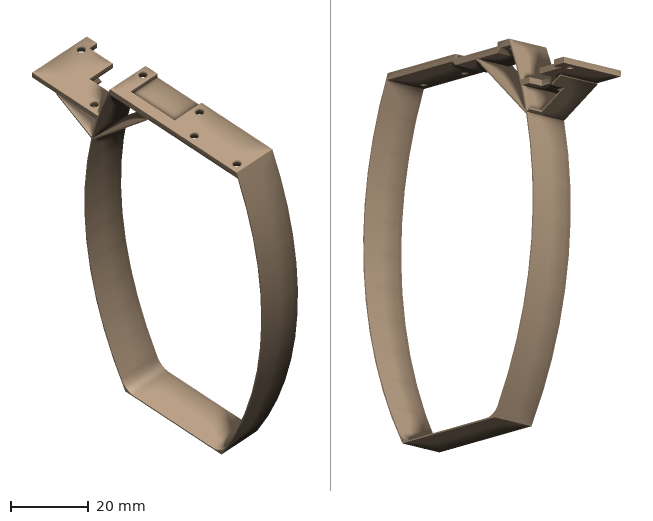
import cadquery as cq
import math


height = 100.0
band_depth = 13.0
wall = 0.4
middle_half_width = 32.4
middle_height = 55.5
bottom_half_width = 17.5
corner_radius = 5.0

top_thickness = 1.8
pocket_left = -18.7
pocket_width = 16.0
pocket_front = 3.2
tray_drop = 1.2

side_left = -51.4
side_top = 88.2
side_thickness = 1.6
side_depth = 20.0
tab_width = 3.7
shoulder_depth = 17.2
notch_start = 12.2
notch_end = 20.6
notch_front = 8.7

brace_thickness = 0.4
brace_foot_z = 79.3
side_brace_start = 9.0
top_brace_x = -9.7

hole_diameter = 2.1
countersink_diameter = 2.6
countersink_angle = 90
front_hole_y = 2.6
back_hole_y = 10.1
tab_hole_y = 15.4
side_holes = [(-48.9, tab_hole_y), (-31.4, front_hole_y)]
top_holes = [(-21.2, back_hole_y), (-0.6, back_hole_y), (5.0, front_hole_y), (20.5, front_hole_y)]

side_sag = middle_half_width - bottom_half_width
arc_radius = (middle_height**2 + side_sag**2) / (2 * side_sag)
arc_centre_x = middle_half_width - arc_radius


def half_width(z, inset=0.0):
    """Distance from the centre plane to the side arc, moved inwards by inset."""
    return arc_centre_x + math.sqrt((arc_radius - inset) ** 2 - (z - middle_height) ** 2)


def extrude_back(profile, y_start, y_end):
    """Extrude an XZ profile from y_start to y_end."""
    return profile.extrude(-(y_end - y_start)).translate((0, y_start, 0))


def barrel(z_low, z_high, inset):
    """Solid barrel between two heights, moved inwards by inset."""
    low = half_width(z_low, inset)
    high = half_width(z_high, inset)
    middle = half_width(middle_height, inset)
    profile = (
        cq.Workplane("XZ")
        .moveTo(-low, z_low)
        .lineTo(low, z_low)
        .threePointArc((middle, middle_height), (high, z_high))
        .lineTo(-high, z_high)
        .threePointArc((-middle, middle_height), (-low, z_low))
        .close()
    )
    return extrude_back(profile, 0, band_depth)


def opening():
    """Space enclosed by the band, below the top plate."""
    space = barrel(wall, height - top_thickness, wall)
    return space.edges("|Y and <Z").fillet(corner_radius)


def frame():
    return barrel(0, height, 0).cut(opening())


def tray():
    plate_bottom = height - top_thickness
    profile = (
        cq.Workplane("XZ")
        .moveTo(pocket_left - tray_drop, plate_bottom)
        .lineTo(pocket_left, plate_bottom - tray_drop)
        .lineTo(pocket_left + pocket_width, plate_bottom - tray_drop)
        .lineTo(pocket_left + pocket_width + tray_drop, plate_bottom)
        .close()
    )
    return extrude_back(profile, pocket_front - tray_drop, band_depth)


def pocket():
    return cq.Workplane("XY").box(
        pocket_width, band_depth - pocket_front, tray_drop, centered=False
    ).translate((pocket_left, pocket_front, height - tray_drop))


def side_plate():
    shoulder_right = side_left + notch_start
    return (
        cq.Workplane("XY", origin=(0, 0, side_top - side_thickness))
        .moveTo(side_left, 0)
        .lineTo(-half_width(side_top, wall), 0)
        .lineTo(-half_width(side_top, wall), band_depth)
        .lineTo(shoulder_right, band_depth)
        .lineTo(shoulder_right, shoulder_depth)
        .lineTo(side_left + tab_width, shoulder_depth)
        .lineTo(side_left + tab_width, side_depth)
        .lineTo(side_left, side_depth)
        .close()
        .extrude(side_thickness)
    )


def brace(start, end):
    """Thin full-depth web between two points of the XZ plane, lying below that line."""
    length = math.dist(start, end)
    angle = math.degrees(math.atan2(end[1] - start[1], end[0] - start[0]))
    web = cq.Workplane("XY").box(length, band_depth, brace_thickness, centered=False)
    web = web.translate((0, 0, -brace_thickness))
    return web.rotate((0, 0, 0), (0, 1, 0), -angle).translate((start[0], 0, start[1]))


def notch():
    """Vertical cut through the side plate and its brace, ending short of the band."""
    return cq.Workplane("XY").box(
        notch_end - notch_start, band_depth - notch_front, side_top - brace_foot_z, centered=False
    ).translate((side_left + notch_start, notch_front, brace_foot_z))


def drill(body, positions, z_top, depth):
    """Countersunk holes from z_top down through a plate of the given thickness."""
    mouth_radius = countersink_diameter / 2
    hole_radius = hole_diameter / 2
    sink_depth = (mouth_radius - hole_radius) / math.tan(math.radians(countersink_angle / 2))
    mouth = cq.Workplane("XY", origin=(0, 0, z_top)).pushPoints(positions)
    shafts = mouth.circle(hole_radius).extrude(-depth)
    sinks = mouth.eachpoint(
        lambda place: cq.Solid.makeCone(
            mouth_radius, hole_radius, sink_depth, dir=cq.Vector(0, 0, -1)
        ).moved(place)
    )
    return body.cut(shafts).cut(sinks)


brace_foot = (-half_width(brace_foot_z, wall), brace_foot_z)
side_brace = brace((side_left + side_brace_start, side_top - side_thickness), brace_foot)
top_brace = brace(brace_foot, (top_brace_x, height - top_thickness))
side_wing = side_plate().union(side_brace).cut(notch()).cut(opening())

result = frame().union(tray()).union(top_brace).cut(pocket()).union(side_wing)
result = drill(result, side_holes, side_top, side_thickness)
result = drill(result, top_holes, height, top_thickness)